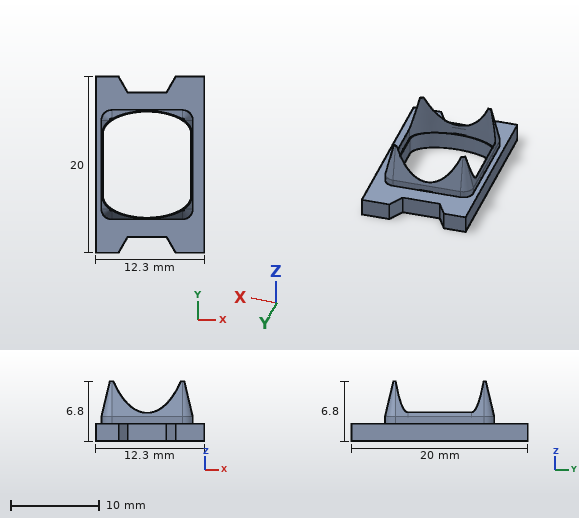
import cadquery as cq
import math

PLATE_LEFT = 5.81
PLATE_RIGHT = 6.5
PLATE_LENGTH = 19.99
PLATE_THICKNESS = 2.0

NOTCH_MOUTH_WIDTH = 6.47
NOTCH_DEPTH = 1.8
NOTCH_FLANK_ANGLE = 60.0

FRAME_WIDTH = 10.37
FRAME_LENGTH = 12.4
FRAME_CORNER_RADIUS = 1.18
COLLAR_HEIGHT = 0.8
TOTAL_HEIGHT = 6.8
WALL_LEAN_AT_TOP = 0.955

OPENING_WIDTH = 9.94
OPENING_STRAIGHT_LENGTH = 7.2
OPENING_END_RISE = 2.4
OPENING_STEP = 0.1


def make_plate():
    width = PLATE_LEFT + PLATE_RIGHT
    center_x = (PLATE_RIGHT - PLATE_LEFT) / 2
    plate = (
        cq.Workplane("XY")
        .center(center_x, 0)
        .rect(width, PLATE_LENGTH)
        .extrude(PLATE_THICKNESS)
    )
    for end in (-1, 1):
        plate = plate.cut(make_notch(end))
    return plate


def make_notch(end):
    """Trapezoidal cutter at the +Y (end = 1) or -Y (end = -1) end of the plate."""
    mouth_half = NOTCH_MOUTH_WIDTH / 2
    floor_half = mouth_half - NOTCH_DEPTH / math.tan(math.radians(NOTCH_FLANK_ANGLE))
    mouth_y = end * PLATE_LENGTH / 2
    floor_y = end * (PLATE_LENGTH / 2 - NOTCH_DEPTH)
    return (
        cq.Workplane("XY")
        .moveTo(-mouth_half, mouth_y)
        .lineTo(-floor_half, floor_y)
        .lineTo(floor_half, floor_y)
        .lineTo(mouth_half, mouth_y)
        .close()
        .extrude(PLATE_THICKNESS)
    )


def make_frame():
    """Solid block of the frame; the opening later leaves four spikes of it."""
    collar_top = PLATE_THICKNESS + COLLAR_HEIGHT
    lean_height = TOTAL_HEIGHT - collar_top
    lean_angle = math.degrees(math.atan(WALL_LEAN_AT_TOP / lean_height))
    outline = cq.Sketch().rect(FRAME_WIDTH, FRAME_LENGTH).vertices().fillet(FRAME_CORNER_RADIUS)
    collar = (
        cq.Workplane("XY")
        .workplane(offset=PLATE_THICKNESS)
        .placeSketch(outline)
        .extrude(COLLAR_HEIGHT)
    )
    leaning_part = (
        cq.Workplane("XY")
        .workplane(offset=collar_top)
        .placeSketch(outline)
        .extrude(lean_height, taper=lean_angle)
    )
    return collar.union(leaning_part)


def make_opening(bottom, top, growth):
    """Opening cutter between two heights, enlarged all round by growth."""
    half_width = OPENING_WIDTH / 2 + growth
    end_rise = OPENING_END_RISE + growth
    height = top - bottom
    straight = (
        cq.Workplane("XY")
        .workplane(offset=bottom)
        .rect(2 * half_width, OPENING_STRAIGHT_LENGTH)
        .extrude(height)
    )
    ends = (
        cq.Workplane("XY")
        .workplane(offset=bottom)
        .pushPoints([(0, -OPENING_STRAIGHT_LENGTH / 2), (0, OPENING_STRAIGHT_LENGTH / 2)])
        .ellipse(half_width, end_rise)
        .extrude(height)
    )
    return straight.union(ends)


result = (
    make_plate()
    .union(make_frame())
    .cut(make_opening(0, PLATE_THICKNESS, 0))
    .cut(make_opening(PLATE_THICKNESS, TOTAL_HEIGHT, OPENING_STEP))
)